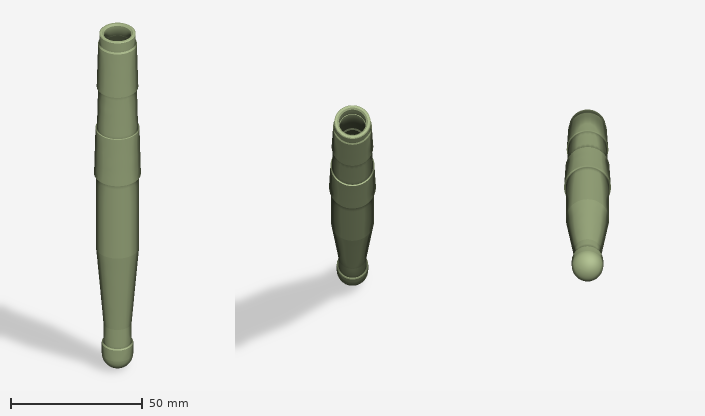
import cadquery as cq
import math

length = 154.0
head_radius = 12.0 / 2
head_top = 11.4
head_chamfer = 0.3
stem_radius = 10.8 / 2
stem_top = 20.2
shank_radius = 16.5 / 2
shank_bottom = 55.1
shoulder_z = 89.0
neck_radius = 13.9 / 2
neck_chamfer = 0.3

mouth_radius = 11.7 / 2
counterbore_radius = 10.5 / 2
counterbore_depth = 5.0
thread_radius = 10.0 / 2
thread_depth = 18.5
drill_radius = 8.5 / 2
drill_depth = 23.1
drill_point_angle = 118.0

sleeve_top = 149.5
sleeve_bevel_height = 0.6
upper_barb_bottom = 129.2
lower_barb_bottom = 110.1
barb_top_radius = 14.8 / 2
upper_barb_radius = 15.9 / 2
lower_barb_radius = 15.7 / 2
collar_top_radius = 16.8 / 2
collar_bottom_radius = 17.9 / 2


def revolve_profile(profile):
    """Turn a closed half profile, drawn as (radius, Z), about the Z axis."""
    return profile.close().revolve(360, (0, 0), (0, 1))


def make_bore():
    """Countersunk bore, stepped down twice and ending in a drill point."""
    mouth_depth = mouth_radius - counterbore_radius
    point_depth = drill_radius / math.tan(math.radians(drill_point_angle / 2))
    return revolve_profile(
        cq.Workplane("XZ")
        .moveTo(0, length)
        .lineTo(mouth_radius, length)
        .lineTo(counterbore_radius, length - mouth_depth)
        .lineTo(counterbore_radius, length - counterbore_depth)
        .lineTo(thread_radius, length - counterbore_depth)
        .lineTo(thread_radius, length - thread_depth)
        .lineTo(drill_radius, length - thread_depth)
        .lineTo(drill_radius, length - drill_depth)
        .lineTo(0, length - drill_depth - point_depth)
    )


def make_rod():
    """Round-headed rod with a tapered shank, a slim neck and a blind bore."""
    arc_mid = head_radius * math.sin(math.radians(45))
    rod = revolve_profile(
        cq.Workplane("XZ")
        .moveTo(0, 0)
        .threePointArc((arc_mid, head_radius - arc_mid), (head_radius, head_radius))
        .lineTo(head_radius, head_top - head_chamfer)
        .lineTo(head_radius - head_chamfer, head_top)
        .lineTo(stem_radius, head_top)
        .lineTo(stem_radius, stem_top)
        .lineTo(shank_radius, shank_bottom)
        .lineTo(shank_radius, shoulder_z)
        .lineTo(neck_radius, shoulder_z)
        .lineTo(neck_radius, length - neck_chamfer)
        .lineTo(neck_radius - neck_chamfer, length)
        .lineTo(0, length)
    )
    return rod.cut(make_bore())


def make_sleeve():
    """Sleeve on the neck: two flared barbs above a wider flared collar."""
    return revolve_profile(
        cq.Workplane("XZ")
        .moveTo(neck_radius, shoulder_z)
        .lineTo(collar_bottom_radius, shoulder_z)
        .lineTo(collar_top_radius, lower_barb_bottom)
        .lineTo(lower_barb_radius, lower_barb_bottom)
        .lineTo(barb_top_radius, upper_barb_bottom)
        .lineTo(upper_barb_radius, upper_barb_bottom)
        .lineTo(barb_top_radius, sleeve_top - sleeve_bevel_height)
        .lineTo(neck_radius, sleeve_top)
    )


rod = make_rod()
sleeve = make_sleeve()

result = cq.Compound.makeCompound([rod.val(), sleeve.val()])